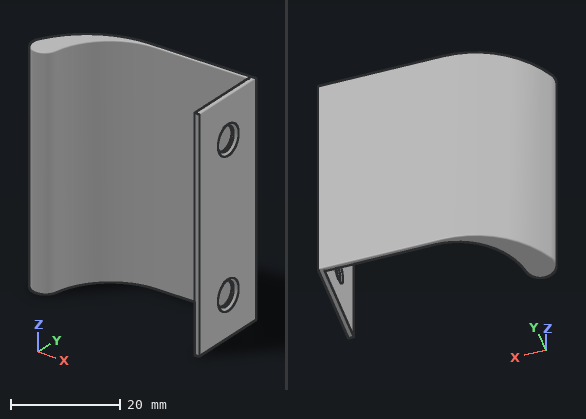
import cadquery as cq
import math

length = 42.0
depth = 18.0
height = 50.0
sheet = 1.0
leg_thickness = 1.15

bead_radius = 3.0
bead_reach = 15.0
outer_radius = 20.0
inner_radius = 14.0

hole_diameter = 5.2
hole_spacing = 32.0
hole_setback = 9.0
straight_bore = 0.5

edge_radius = 0.3

tolerance = 0.005

bead_x = bead_radius
bead_y = bead_radius - bead_reach

outer_y = -outer_radius
outer_x = bead_x + math.sqrt((outer_radius - bead_radius) ** 2 - (bead_y - outer_y) ** 2)
inner_y = -sheet - inner_radius
inner_x = bead_x + math.sqrt((inner_radius + bead_radius) ** 2 - (bead_y - inner_y) ** 2)

quarter_turn = math.pi / 2
outer_angle = math.atan2(bead_y - outer_y, bead_x - outer_x)
inner_angle = math.atan2(bead_y - inner_y, bead_x - inner_x)


def on_circle(x, y, radius, angle):
    """Point at the given angle on a circle centred at (x, y)."""
    return x + radius * math.cos(angle), y + radius * math.sin(angle)


def make_profile():
    """Extrude the hook-and-leg section along Z, centred on z = 0."""
    outer_middle = on_circle(outer_x, outer_y, outer_radius, (quarter_turn + outer_angle) / 2)
    outer_end = on_circle(outer_x, outer_y, outer_radius, outer_angle)
    bead_bottom = (bead_x, bead_y - bead_radius)
    inner_end = on_circle(inner_x, inner_y, inner_radius, inner_angle)
    inner_middle = on_circle(inner_x, inner_y, inner_radius, (quarter_turn + inner_angle) / 2)
    return (
        cq.Workplane("XY", origin=(0, 0, -height / 2))
        .moveTo(length, 0)
        .lineTo(outer_x, 0)
        .threePointArc(outer_middle, outer_end)
        .threePointArc(bead_bottom, inner_end)
        .threePointArc(inner_middle, (inner_x, -sheet))
        .lineTo(length - leg_thickness, -sheet)
        .lineTo(length - leg_thickness, -depth)
        .lineTo(length, -depth)
        .close()
        .extrude(height)
    )


def round_edges(body):
    """Round the outer corner and the end rims, leaving the leg's inner and free edges sharp."""
    corner = cq.selectors.BoxSelector(
        (length - tolerance, -tolerance, -height),
        (length + tolerance, tolerance, height),
    )
    leg_edges = cq.selectors.BoxSelector(
        (length - leg_thickness - tolerance, -depth - tolerance, -height),
        (length - tolerance, -sheet - tolerance, height),
    )
    end_rims = body.faces("<Z or >Z").edges().edges(-leg_edges)
    return end_rims.add(body.edges(corner)).fillet(edge_radius)


def cut_screw_holes(body):
    """Cut two holes through the leg along X, countersunk at 45 degrees from its outer face."""
    hole_radius = hole_diameter / 2
    sink_depth = leg_thickness - straight_bore
    along_x = cq.Vector(1, 0, 0)
    for side in (-1, 1):
        start = cq.Vector(length - leg_thickness, -hole_setback, side * hole_spacing / 2)
        sink_start = start + along_x * straight_bore
        bore = cq.Solid.makeCylinder(hole_radius, leg_thickness, start, along_x)
        sink = cq.Solid.makeCone(hole_radius, hole_radius + sink_depth, sink_depth, sink_start, along_x)
        body = body.cut(cq.Workplane(bore)).cut(cq.Workplane(sink))
    return body


result = cut_screw_holes(round_edges(make_profile()))